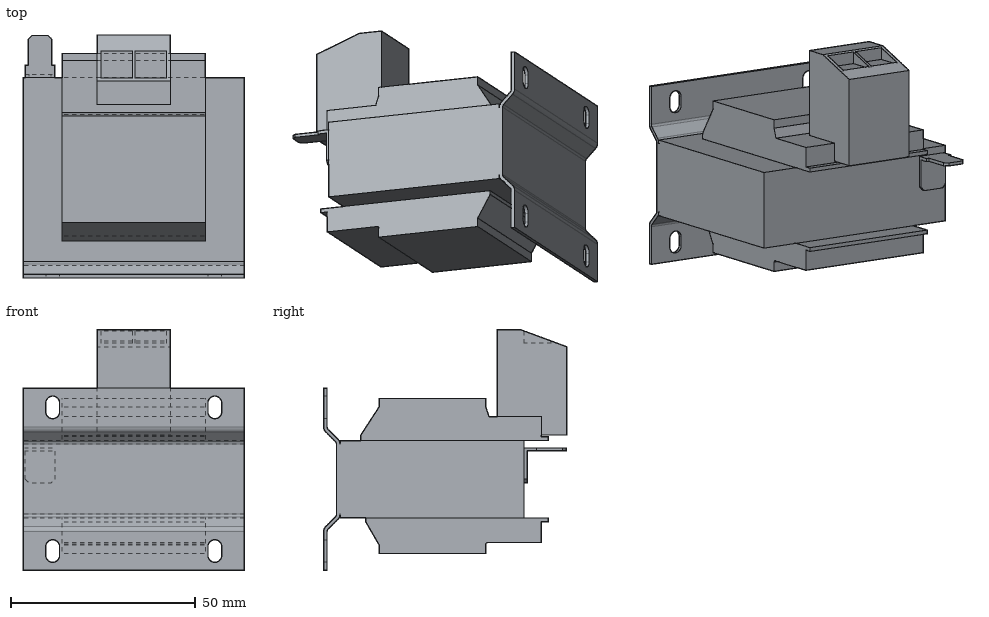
import cadquery as cq
import math


width = 60.0
plate_thickness = 1.0
plate_half_height = 24.7
joggle_depth = 3.5
joggle_angle = 45
web_half_height = 9.9
bend_inner_radius = 1.0
bend_outer_radius = bend_inner_radius + plate_thickness
slot_width = 3.7
slot_length = 6.1
slot_offset_x = 22.0
slot_offset_z = 19.5

core_half_height = 10.5
core_start = joggle_depth + plate_thickness
core_length = 49.95
core_end = core_start + core_length

bobbin_width = 38.85
lip_end = 61.0
lip_thickness = 1.05
lip_level = core_half_height + lip_thickness
shoulder_end = 59.1
coil_start = 15.05
coil_end = 44.05
upper_start = 10.05
upper_slope_bottom = 11.9
upper_slope_top = 19.6
upper_coil_top = 21.9
upper_shoulder_level = 17.0
upper_ramp_end = 44.9
lower_start = 11.4
lower_slope_top = 17.85
lower_coil_top = 20.2
lower_shoulder_level = 17.2
lower_ramp_end = 44.4
lower_ramp_height = 0.4

block_width = 19.8
block_start = 47.1
block_end = 66.05
block_bottom = 11.95
block_top = 40.55
roof_start = 53.55
roof_low_level = 35.9
pocket_width = 8.45
pocket_gap = 0.8
pocket_start = 54.35
pocket_end = 61.7
pocket_min_depth = 0.5

tab_center_x = -25.4
tab_thickness = 0.85
tab_base_width = 8.1
tab_blade_width = 6.5
tab_base_end = 57.8
tab_tip = 65.85
tab_top = 8.5
tab_bottom = -1.0
tab_chamfer = 1.05


def extrude_across(points, extent):
    """Extrude a (Y, Z) outline symmetrically about X = 0."""
    return cq.Workplane("YZ").polyline(points).close().extrude(extent / 2, both=True)


def box_between(x_range, y_range, z_range):
    """Box given by its limits along each axis."""
    size = [high - low for low, high in (x_range, y_range, z_range)]
    corner = (x_range[0], y_range[0], z_range[0])
    return cq.Workplane("XY").box(*size, centered=False).translate(corner)


def fillet_bends(plate, corners, radius):
    """Round the edges along X at the given (Y, Z) corners and their mirror images below Z = 0."""
    for y, z in corners:
        for corner_z in (z, -z):
            edge = plate.edges(cq.selectors.NearestToPointSelector((0, y, corner_z)))
            plate = edge.fillet(radius)
    return plate


def make_base_plate():
    bend_shift = plate_thickness * math.tan(math.radians(joggle_angle / 2))
    web_front = web_half_height
    web_back = web_front + bend_shift
    flange_front = web_front + joggle_depth / math.tan(math.radians(joggle_angle))
    flange_back = flange_front + bend_shift
    upper_front = [(joggle_depth, web_front), (0, flange_front), (0, plate_half_height)]
    upper_back = [
        (plate_thickness, plate_half_height),
        (plate_thickness, flange_back),
        (core_start, web_back),
    ]
    upper_half = upper_front + upper_back
    lower_half = [(y, -z) for y, z in reversed(upper_half)]
    plate = extrude_across(upper_half + lower_half, width)

    inner_corners = [(joggle_depth, web_front), (plate_thickness, flange_back)]
    outer_corners = [(0, flange_front), (core_start, web_back)]
    plate = fillet_bends(plate, inner_corners, bend_inner_radius)
    plate = fillet_bends(plate, outer_corners, bend_outer_radius)

    slots = (
        cq.Workplane("XZ")
        .rarray(2 * slot_offset_x, 2 * slot_offset_z, 2, 2)
        .slot2D(slot_length, slot_width, 90)
        .extrude(-plate_thickness)
    )
    return plate.cut(slots)


def make_core():
    half_width = width / 2
    return box_between(
        (-half_width, half_width), (core_start, core_end), (-core_half_height, core_half_height)
    )


def make_upper_bobbin():
    outline = [
        (upper_start, core_half_height),
        (upper_start, upper_slope_bottom),
        (coil_start, upper_slope_top),
        (coil_start, upper_coil_top),
        (coil_end, upper_coil_top),
        (coil_end, upper_slope_top),
        (upper_ramp_end, upper_shoulder_level),
        (shoulder_end, upper_shoulder_level),
        (shoulder_end, lip_level),
        (lip_end, lip_level),
        (lip_end, core_half_height),
    ]
    return extrude_across(outline, bobbin_width)


def make_lower_bobbin():
    outline = [
        (lower_start, -core_half_height),
        (lower_start, -lip_level),
        (coil_start, -lower_slope_top),
        (coil_start, -lower_coil_top),
        (coil_end, -lower_coil_top),
        (coil_end, -lower_shoulder_level - lower_ramp_height),
        (lower_ramp_end, -lower_shoulder_level),
        (shoulder_end, -lower_shoulder_level),
        (shoulder_end, -lip_level),
        (lip_end, -lip_level),
        (lip_end, -core_half_height),
    ]
    return extrude_across(outline, bobbin_width)


def make_terminal_block():
    outline = [
        (block_start, block_bottom),
        (block_start, block_top),
        (roof_start, block_top),
        (block_end, roof_low_level),
        (block_end, block_bottom),
    ]
    block = extrude_across(outline, block_width)
    roof_slope = (block_top - roof_low_level) / (block_end - roof_start)
    roof_level_at_pocket_end = roof_low_level + roof_slope * (block_end - pocket_end)
    floor_level = roof_level_at_pocket_end - pocket_min_depth
    pocket_pitch = pocket_width + pocket_gap
    for center_x in (-pocket_pitch / 2, pocket_pitch / 2):
        pocket = box_between(
            (center_x - pocket_width / 2, center_x + pocket_width / 2),
            (pocket_start, pocket_end),
            (floor_level, block_top),
        )
        block = block.cut(pocket)
    return block


def make_earth_tab():
    base_range = (tab_center_x - tab_base_width / 2, tab_center_x + tab_base_width / 2)
    blade_range = (tab_center_x - tab_blade_width / 2, tab_center_x + tab_blade_width / 2)
    level_range = (tab_top - tab_thickness, tab_top)
    leg = box_between(base_range, (core_end, core_end + tab_thickness), (tab_bottom, tab_top))
    leg = leg.faces("<Z").edges("|Y").chamfer(tab_chamfer)
    base = box_between(base_range, (core_end, tab_base_end), level_range)
    blade = box_between(blade_range, (core_end, tab_tip), level_range)
    blade = blade.faces(">Y").edges("|Z").chamfer(tab_chamfer)
    return leg.union(base).union(blade)


result = (
    make_core()
    .union(make_base_plate())
    .union(make_upper_bobbin())
    .union(make_lower_bobbin())
    .union(make_terminal_block())
    .union(make_earth_tab())
)